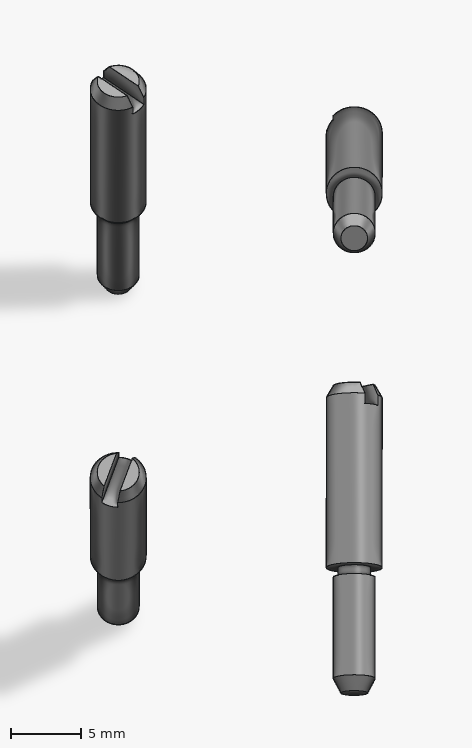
import cadquery as cq
import math

total_length = 22.3

shank_diameter = 3.0
tip_diameter = 1.9
tip_length = 1.05
shank_top = 8.4

groove_diameter = 2.35
groove_width = 0.7

body_diameter = 4.0
head_diameter = 3.0
head_taper_angle = 30.0
head_taper_height = (body_diameter - head_diameter) / 2 / math.tan(math.radians(head_taper_angle))

slot_width = 1.2
slot_depth = 1.6


def turned_pin():
    """Revolve the half profile of the pin about Z."""
    body_bottom = shank_top + groove_width
    half_profile = (
        cq.Workplane("XZ")
        .moveTo(0, 0)
        .lineTo(tip_diameter / 2, 0)
        .lineTo(shank_diameter / 2, tip_length)
        .lineTo(shank_diameter / 2, shank_top)
        .lineTo(groove_diameter / 2, shank_top)
        .lineTo(groove_diameter / 2, body_bottom)
        .lineTo(body_diameter / 2, body_bottom)
        .lineTo(body_diameter / 2, total_length - head_taper_height)
        .lineTo(head_diameter / 2, total_length)
        .lineTo(0, total_length)
        .close()
    )
    return half_profile.revolve(360, (0, 0, 0), (0, 1, 0))


def screwdriver_slot():
    """Box that cuts the slot right through the head."""
    return (
        cq.Workplane("XY")
        .workplane(offset=total_length - slot_depth)
        .rect(body_diameter, slot_width)
        .extrude(slot_depth)
    )


result = turned_pin().cut(screwdriver_slot())